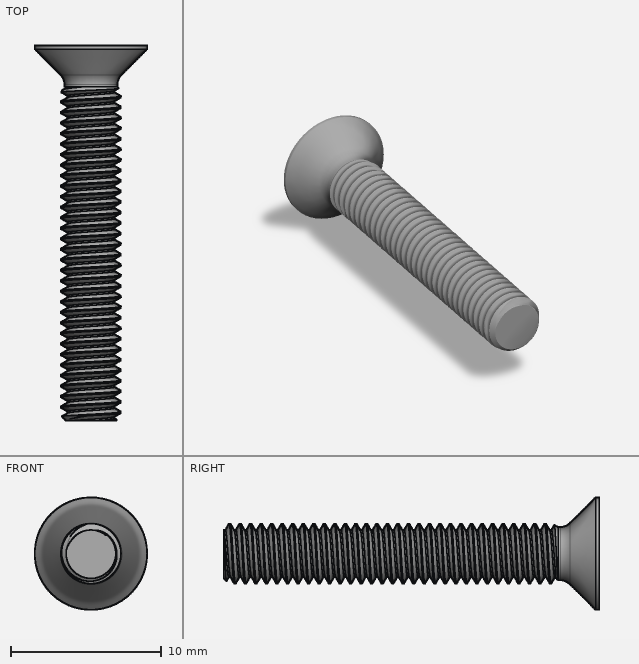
import cadquery as cq
import math


length = 25.0
head_radius = 3.75
rim_height = 0.25

neck_radius = 1.78
neck_end = 2.75
neck_fillet_radius = 0.92
cone_half_angle = math.radians(45)

pitch = 0.7
major_radius = 2.0
root_radius = 1.58
crest_width = pitch / 8
flank_half_angle = math.radians(30)
first_crest = 2.72
run_out_length = 0.4
tip_radius = 1.65
ridge_overlap = 0.05
crest_clearance = 0.25


def head_and_neck():
    """Revolved head and filleted neck, with a short taper down to the thread root."""
    fillet_drop = neck_fillet_radius * (1 - math.cos(cone_half_angle))
    fillet_top_radius = neck_radius + fillet_drop
    cone_height = (head_radius - fillet_top_radius) / math.tan(cone_half_angle)
    fillet_top_z = -rim_height - cone_height
    fillet_end_z = fillet_top_z - neck_fillet_radius * math.sin(cone_half_angle)

    half_angle = cone_half_angle / 2
    fillet_mid_radius = neck_radius + neck_fillet_radius * (1 - math.cos(half_angle))
    fillet_mid_z = fillet_end_z + neck_fillet_radius * math.sin(half_angle)

    taper_height = neck_radius - root_radius
    profile = (
        cq.Workplane("XZ")
        .lineTo(head_radius, 0)
        .lineTo(head_radius, -rim_height)
        .lineTo(fillet_top_radius, fillet_top_z)
        .threePointArc((fillet_mid_radius, fillet_mid_z), (neck_radius, fillet_end_z))
        .lineTo(neck_radius, -neck_end)
        .lineTo(root_radius, -neck_end - taper_height)
        .lineTo(0, -neck_end - taper_height)
        .close()
    )
    return profile.revolve(360, (0, 0, 0), (0, 1, 0))


def thread_envelope():
    """Double cone that trims the ends of the ridge: run-out at the neck, 45 degree chamfer at the tip.

    Between the cones it stays clear of the crest.
    """
    run_out_slope = run_out_length / (major_radius - neck_radius)
    outer_radius = major_radius + crest_clearance
    run_out_end_z = -neck_end - (outer_radius - neck_radius) * run_out_slope
    chamfer_start_z = -length + outer_radius - tip_radius
    profile = (
        cq.Workplane("XZ")
        .moveTo(0, -neck_end)
        .lineTo(neck_radius, -neck_end)
        .lineTo(outer_radius, run_out_end_z)
        .lineTo(outer_radius, chamfer_start_z)
        .lineTo(tip_radius, -length)
        .lineTo(0, -length)
        .close()
    )
    return profile.revolve(360, (0, 0, 0), (0, 1, 0))


def thread_ridge():
    """Helical ridge that runs past both ends of the thread envelope."""
    turns_below = math.ceil((length - first_crest) / pitch) + 1
    start_z = -first_crest - turns_below * pitch
    helix_height = (turns_below + 1) * pitch

    base_radius = root_radius - ridge_overlap
    half_crest = crest_width / 2
    half_base = half_crest + (major_radius - base_radius) * math.tan(flank_half_angle)

    helix = cq.Wire.makeHelix(pitch, helix_height, root_radius, center=cq.Vector(0, 0, start_z))
    ridge = (
        cq.Workplane("XZ", origin=(0, 0, start_z))
        .moveTo(base_radius, -half_base)
        .lineTo(major_radius, -half_crest)
        .lineTo(major_radius, half_crest)
        .lineTo(base_radius, half_base)
        .close()
        .sweep(cq.Workplane(obj=helix), isFrenet=True)
    )
    return ridge


def threaded_shank():
    """Core at the thread root with the ridge on it, trimmed at both ends."""
    untrimmed_length = length + pitch
    core = cq.Workplane("XY").circle(root_radius).extrude(-untrimmed_length)
    return core.union(thread_ridge()).intersect(thread_envelope())


screw = head_and_neck().union(threaded_shank())
result = screw.rotate((0, 0, 0), (1, 0, 0), -90).solids()